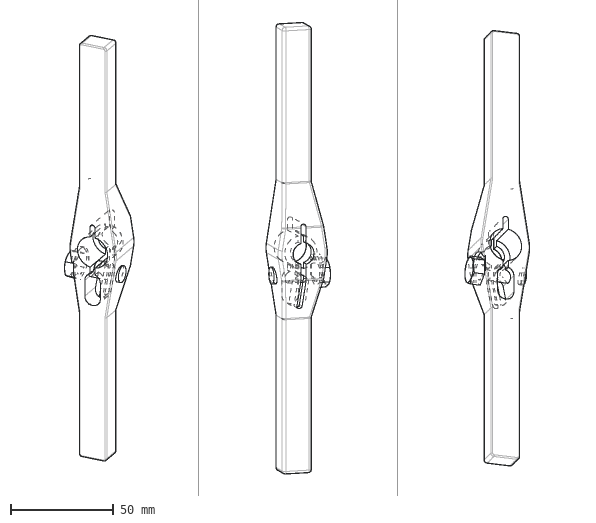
import cadquery as cq
import math

length = 222.0
half_length = length / 2
bar_width = 14.9
bar_depth = 12.0
hub_width = 25.3
hub_depth = 21.5
hub_half_length = 33.7
crest_half_length = 13.0
crest_radius = 14.7
edge_radius = 1.5
front_edge_radius = 0.7
tolerance = 0.2

seat_radius = 8.2
back_wall = 4.5
seat_depth = hub_depth - back_wall
bore_radius = 5.3
slot_width = 2.7
slot_top = 14.7
slot_bottom = -28.5
pocket_width = 8.5
pocket_top = -11.5

bolt_y = 8.0
bolt_z = -12.5
shank_radius = 4.2
shank_end_x = 12.2
head_across_flats = 12.7
hexagon_sides = 6
head_across_corners = head_across_flats / math.cos(math.pi / hexagon_sides)
head_face_radius = 6.2
head_bevel_angle = 30
head_outer_x = -16.2
head_seat_x = -10.5
spotface_radius = 9.3


def box(y_min, y_max, half_height):
    """Selector for edges centred between two depths and within a height about the middle."""
    return cq.selectors.BoxSelector(
        (-hub_width, y_min, -half_height),
        (hub_width, y_max, half_height),
    )


def make_body():
    """Long bar with a diamond hub that also swells towards the back (+Y)."""
    bar_side = bar_width / 2
    side_angle = math.atan((hub_width / 2 - bar_side) / hub_half_length)
    crest_trim = crest_radius * (1 / math.cos(side_angle) - 1)
    hub_side = hub_width / 2 + crest_trim

    outline = (
        cq.Workplane("XZ")
        .polyline([
            (bar_side, -half_length),
            (bar_side, -hub_half_length),
            (hub_side, 0),
            (bar_side, hub_half_length),
            (bar_side, half_length),
            (-bar_side, half_length),
            (-bar_side, hub_half_length),
            (-hub_side, 0),
            (-bar_side, -hub_half_length),
            (-bar_side, -half_length),
        ])
        .close()
        .extrude(-hub_depth)
    )
    crests = box(0, hub_depth, tolerance)
    outline = outline.edges("|Y").edges(crests).fillet(crest_radius)

    profile = (
        cq.Workplane("YZ")
        .polyline([
            (0, -half_length),
            (bar_depth, -half_length),
            (bar_depth, -hub_half_length),
            (hub_depth, -crest_half_length),
            (hub_depth, crest_half_length),
            (bar_depth, hub_half_length),
            (bar_depth, half_length),
            (0, half_length),
        ])
        .close()
        .extrude(hub_width, both=True)
    )
    return outline.intersect(profile)


def round_edges(body):
    """Round the ends and the back rim, then the front rim more finely."""
    behind_front = box(tolerance, hub_depth + tolerance, half_length + tolerance)
    hub_side_bends = box(tolerance, bar_depth - tolerance, hub_half_length + tolerance)
    body = body.edges(behind_front - hub_side_bends).fillet(edge_radius)
    return body.faces("<Y").edges().fillet(front_edge_radius)


def vertical_slot(width, top, bottom):
    """Round-ended slot prism along Z, cut from the front face through the full depth."""
    return (
        cq.Workplane("XZ")
        .center(0, (top + bottom) / 2)
        .slot2D(top - bottom, width, 90)
        .extrude(-hub_depth)
    )


def make_pocket():
    """Slot pocket whose floor follows the sloping back, leaving a wall of even depth."""
    floor = (
        cq.Workplane("YZ")
        .polyline([
            (0, -hub_half_length),
            (bar_depth - back_wall, -hub_half_length),
            (hub_depth - back_wall, -crest_half_length),
            (hub_depth - back_wall, 0),
            (0, 0),
        ])
        .close()
        .extrude(pocket_width, both=True)
    )
    return vertical_slot(pocket_width, pocket_top, slot_bottom).intersect(floor)


def cylinder_y(radius, depth):
    """Cylinder through the hub centre, running back from the front face."""
    return cq.Workplane("XZ").circle(radius).extrude(-depth)


def bolt_plane(x):
    """Plane across the bolt axis, facing +X."""
    return cq.Workplane("YZ", origin=(x, bolt_y, bolt_z))


def make_bolt():
    """Hexagon-head bolt along X whose head corners are bevelled by a cone."""
    shank = bolt_plane(head_seat_x).circle(shank_radius).extrude(shank_end_x - head_seat_x)
    head_height = head_seat_x - head_outer_x
    hexagon = (
        bolt_plane(head_outer_x)
        .transformed(rotate=(0, 0, 90))
        .polygon(hexagon_sides, head_across_corners)
        .extrude(head_height)
    )
    bevel_cone = (
        bolt_plane(head_outer_x)
        .circle(head_face_radius)
        .extrude(head_height, taper=head_bevel_angle - 90)
    )
    return shank.union(hexagon.intersect(bevel_cone))


body = round_edges(make_body())
body = body.cut(cylinder_y(seat_radius, seat_depth))
body = body.cut(cylinder_y(bore_radius, hub_depth))
body = body.cut(vertical_slot(slot_width, slot_top, slot_bottom))
body = body.cut(make_pocket())

body = body.cut(bolt_plane(head_seat_x).circle(spotface_radius).extrude(-hub_width))

result = body.union(make_bolt())